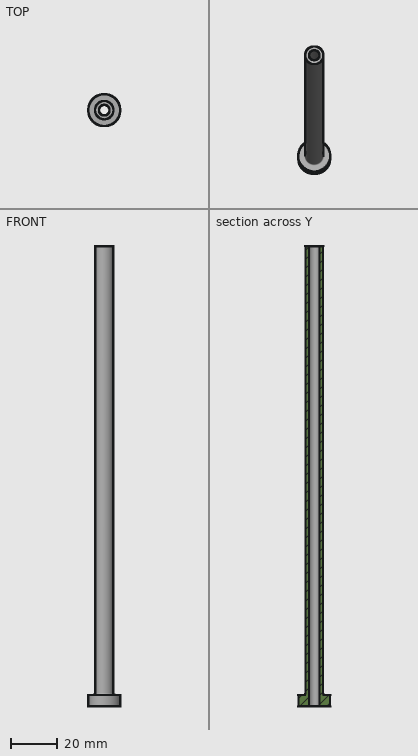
import cadquery as cq

total_length = 200.0
tube_diameter = 8.0
bore_diameter = 4.5
head_diameter = 14.0
head_height = 5.0
neck_fillet_radius = 0.5

tube_radius = tube_diameter / 2
bore_radius = bore_diameter / 2
head_radius = head_diameter / 2


def sleeve_body():
    """Solid headed pin with a concave fillet where the tube meets the head.

    The underside of the head lies on Z = 0.
    """
    half_profile = (
        cq.Workplane("XZ")
        .moveTo(0, 0)
        .lineTo(head_radius, 0)
        .lineTo(head_radius, head_height)
        .lineTo(tube_radius + neck_fillet_radius, head_height)
        .radiusArc((tube_radius, head_height + neck_fillet_radius), neck_fillet_radius)
        .lineTo(tube_radius, total_length)
        .lineTo(0, total_length)
        .close()
    )
    return half_profile.revolve(360, (0, 0, 0), (0, 1, 0))


def bore():
    """Straight bore running the whole length of the sleeve."""
    return cq.Workplane("XY").circle(bore_radius).extrude(total_length)


result = sleeve_body().cut(bore())